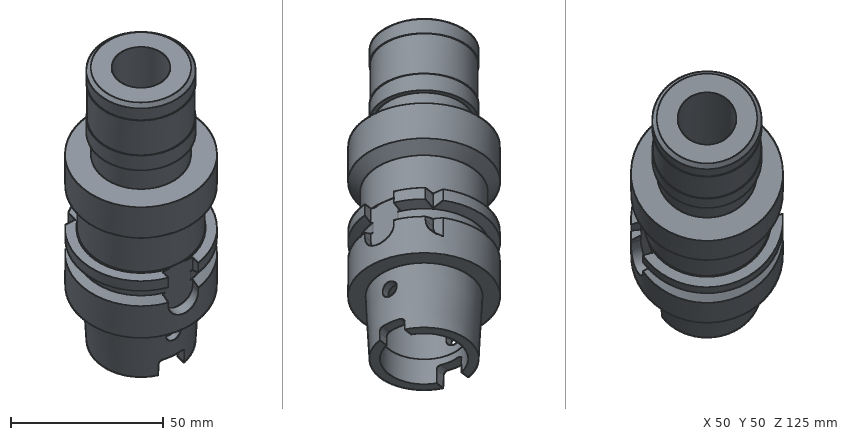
import cadquery as cq

total_height = 125.0
flange_bottom = 25.0
flange_top = 51.1
cone_bottom = 67.0
collar_top = 85.1
head_bottom = 95.2
relief_bottom = 102.0
relief_top = 118.1

flange_radius = 25.0
neck_radius = 21.0
head_radius = 18.0
relief_radius = 17.8
throat_radius = 16.5
shank_tip_radius = 18.0
shank_taper = 1 / 20
shank_root_radius = shank_tip_radius + shank_taper * flange_bottom

groove_radius = 21.6
groove_bottom = 41.1
groove_top = 45.1
groove_bevel_height = 1.5

shoulder_radius = 21.2
shoulder_height = 0.4
shoulder_top = flange_top + shoulder_height

head_chamfer_height = 1.2

tool_bore_radius = 9.6
tool_bore_depth = total_height - collar_top
shank_mouth_radius = 14.5
shank_mouth_depth = 10.0
shank_recess_radius = 16.0
shank_recess_depth = flange_bottom

slot_radius = 6.0
slot_arc_height = 38.0
key_slot_floor = neck_radius
corner_notch_floor = 15.5

drive_slot_width = 10.2
drive_slot_fillet = 1.5
left_drive_depth = 4.5
right_drive_depth = 7.0
cross_hole_radius = 2.9
cross_hole_height = 17.5


def make_body():
    """Revolve the outer profile of the holder."""
    profile = [
        (0, 0),
        (shank_tip_radius, 0),
        (shank_root_radius, flange_bottom),
        (flange_radius, flange_bottom),
        (flange_radius, groove_bottom - groove_bevel_height),
        (groove_radius, groove_bottom),
        (groove_radius, groove_top),
        (flange_radius, groove_top + groove_bevel_height),
        (flange_radius, flange_top),
        (shoulder_radius, flange_top),
        (shoulder_radius, shoulder_top),
        (neck_radius, shoulder_top),
        (neck_radius, cone_bottom),
        (flange_radius, cone_bottom + flange_radius - neck_radius),
        (flange_radius, collar_top),
        (throat_radius, collar_top),
        (throat_radius, head_bottom),
        (head_radius, head_bottom),
        (head_radius, relief_bottom),
        (relief_radius, relief_bottom),
        (relief_radius, relief_top),
        (head_radius, relief_top),
        (head_radius, total_height - head_chamfer_height),
        (throat_radius, total_height),
        (0, total_height),
    ]
    return cq.Workplane("XZ").polyline(profile).close().revolve(360, (0, 0), (0, 1))


def make_bores():
    """Blind tool bore from the top and blind stepped clamping bore from the shank end."""
    tool_bore = (
        cq.Workplane("XY", origin=(0, 0, total_height))
        .circle(tool_bore_radius)
        .extrude(-tool_bore_depth)
    )
    shank_mouth = cq.Workplane("XY").circle(shank_mouth_radius).extrude(shank_mouth_depth)
    shank_recess = (
        cq.Workplane("XY", origin=(0, 0, shank_mouth_depth))
        .circle(shank_recess_radius)
        .extrude(shank_recess_depth - shank_mouth_depth)
    )
    return tool_bore.union(shank_mouth).union(shank_recess)


def make_flange_slot(center_y, floor):
    """Slot with a round lower end, open upward and outward on the -X side."""
    return (
        cq.Workplane("YZ", origin=(-floor, center_y, 0))
        .moveTo(-slot_radius, shoulder_top)
        .lineTo(-slot_radius, slot_arc_height)
        .threePointArc((0, slot_arc_height - slot_radius), (slot_radius, slot_arc_height))
        .lineTo(slot_radius, shoulder_top)
        .close()
        .extrude(floor - flange_radius)
    )


def make_drive_slot(direction, depth):
    """Notch in the shank end wall, running from the axis along +X or -X."""
    return (
        cq.Workplane("XY")
        .box(flange_radius, drive_slot_width, depth, centered=(False, True, False))
        .edges("|X and >Z")
        .fillet(drive_slot_fillet)
        .translate((0 if direction > 0 else -flange_radius, 0, 0))
    )


def make_cross_hole():
    """Round hole along X through both shank walls."""
    return (
        cq.Workplane("YZ", origin=(0, 0, cross_hole_height))
        .circle(cross_hole_radius)
        .extrude(flange_radius, both=True)
    )


key_slot = make_flange_slot(0, key_slot_floor)
corner_notch = make_flange_slot(-corner_notch_floor - slot_radius, corner_notch_floor)

result = (
    make_body()
    .cut(make_bores())
    .cut(key_slot)
    .cut(key_slot.mirror("YZ"))
    .cut(corner_notch)
    .cut(make_drive_slot(-1, left_drive_depth))
    .cut(make_drive_slot(1, right_drive_depth))
    .cut(make_cross_hole())
)